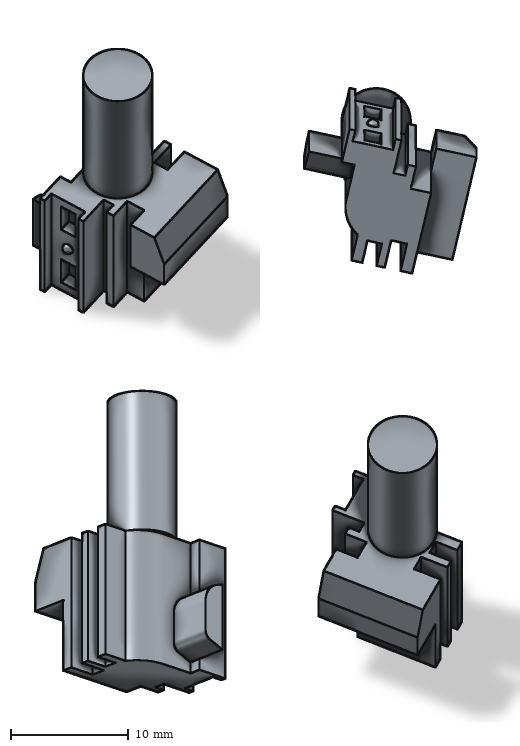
import cadquery as cq

total_height = 24.6
body_height = 11.9
shaft_diameter = 5.9

foot_left, foot_right = -3.71, 0.8
foot_recess_left, foot_recess_right = -3.22, 0.3
flank_x = -2.6
back_wall_left, back_wall_right = -0.98, -0.05
back_rib_left, back_rib_right = 1.2, 1.92
front_rib_left, front_rib_right = 1.82, 2.53
back_groove_right = 3.3
trunk_right = 4.3
nose_right = 7.82

back_y = 5.16
back_slot_floor = 3.15
back_groove_floor = 2.68
flank_arc_end = 2.8
front_groove_floor = -2.2
foot_top = -3.22
nose_front = -4.2
foot_recess_floor = -5.24
foot_front = -6.22

nose_bottom = 6.45
nose_slope_left = 6.79
nose_slope_bottom = 9.1

key_left = -6.6
key_back = -1.28
key_bottom, key_top = 1.0, 6.98
key_upper_arc_y, key_upper_arc_z = -2.55, 6.75
key_upper_arc_end = 4.97
key_lower_arc_y, key_lower_arc_z = -1.87, 1.52
key_lower_arc_end = 2.34

pocket_width = 1.48
pocket_height = 2.98
pocket_depth = 1.15
pocket_spacing = 6.89
dome_radius = 0.5
recess_x = (foot_recess_left + foot_recess_right) / 2
recess_z = body_height / 2


def make_body():
    """Extruded profile with grooves at the back and front and a channelled foot."""
    return (
        cq.Workplane("XY")
        .moveTo(flank_x, foot_top)
        .lineTo(flank_x, 0)
        .tangentArcPoint((back_wall_left, flank_arc_end), relative=False)
        .lineTo(back_wall_left, back_y)
        .lineTo(back_wall_right, back_y)
        .lineTo(back_wall_right, back_slot_floor)
        .lineTo(back_rib_left, back_slot_floor)
        .lineTo(back_rib_left, back_y)
        .lineTo(back_rib_right, back_y)
        .lineTo(back_rib_right, back_groove_floor)
        .lineTo(back_groove_right, back_groove_floor)
        .lineTo(back_groove_right, back_y)
        .lineTo(nose_right, back_y)
        .lineTo(nose_right, nose_front)
        .lineTo(trunk_right, nose_front)
        .lineTo(trunk_right, front_groove_floor)
        .lineTo(front_rib_right, front_groove_floor)
        .lineTo(front_rib_right, nose_front)
        .lineTo(front_rib_left, nose_front)
        .lineTo(front_rib_left, foot_top)
        .lineTo(foot_right, foot_top)
        .lineTo(foot_right, foot_front)
        .lineTo(foot_recess_right, foot_front)
        .lineTo(foot_recess_right, foot_recess_floor)
        .lineTo(foot_recess_left, foot_recess_floor)
        .lineTo(foot_recess_left, foot_front)
        .lineTo(foot_left, foot_front)
        .lineTo(foot_left, foot_top)
        .close()
        .extrude(body_height)
    )


def shape_nose(body):
    """Clear the space under the nose and slope its upper edge."""
    undercut = (
        cq.Workplane("XY")
        .box(nose_right - trunk_right, back_y - nose_front, nose_bottom, centered=False)
        .translate((trunk_right, nose_front, 0))
    )
    slope = (
        cq.Workplane("XZ", origin=(0, back_y, 0))
        .moveTo(nose_slope_left, body_height)
        .lineTo(nose_right, body_height)
        .lineTo(nose_right, nose_slope_bottom)
        .close()
        .extrude(back_y - nose_front)
    )
    return body.cut(undercut).cut(slope)


def make_shaft():
    return (
        cq.Workplane("XY", origin=(0, 0, body_height))
        .circle(shaft_diameter / 2)
        .extrude(total_height - body_height)
    )


def make_key():
    """Bar along X with sloped top and bottom rounded into its back face."""
    return (
        cq.Workplane("YZ", origin=(key_left, 0, 0))
        .moveTo(foot_top, key_bottom)
        .lineTo(foot_top, key_top)
        .lineTo(key_upper_arc_y, key_upper_arc_z)
        .tangentArcPoint((key_back, key_upper_arc_end), relative=False)
        .lineTo(key_back, key_lower_arc_end)
        .tangentArcPoint((key_lower_arc_y, key_lower_arc_z), relative=False)
        .close()
        .extrude(flank_x - key_left)
    )


def make_pockets():
    return (
        cq.Workplane("XZ", origin=(recess_x, foot_recess_floor, recess_z))
        .rarray(0.25, pocket_spacing, 1, 2)
        .rect(pocket_width, pocket_height)
        .extrude(-pocket_depth)
    )


def make_dome():
    return cq.Workplane("XY").sphere(dome_radius).translate((recess_x, foot_recess_floor, recess_z))


result = (
    shape_nose(make_body())
    .union(make_shaft())
    .union(make_key())
    .cut(make_pockets())
    .union(make_dome())
)